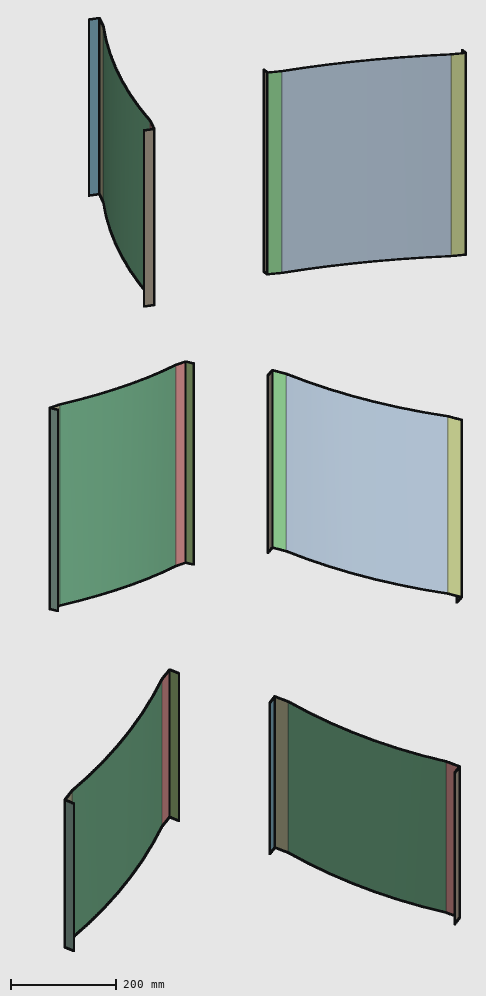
import cadquery as cq

width = 402.0
depth = 21.0
height = 400.0
thickness = 1.0
shoulder = 29.7
sag = 15.5

half_width = width / 2
inner_half_width = half_width - thickness
bend_x = half_width - shoulder
inner_y = depth - thickness

profile = (
    cq.Workplane("XY")
    .moveTo(-half_width, 0)
    .lineTo(-half_width, depth)
    .lineTo(-bend_x, depth)
    .threePointArc((0, depth - sag), (bend_x, depth))
    .lineTo(half_width, depth)
    .lineTo(half_width, 0)
    .lineTo(inner_half_width, 0)
    .lineTo(inner_half_width, inner_y)
    .lineTo(bend_x, inner_y)
    .threePointArc((0, inner_y - sag), (-bend_x, inner_y))
    .lineTo(-inner_half_width, inner_y)
    .lineTo(-inner_half_width, 0)
    .close()
)

result = profile.extrude(height)